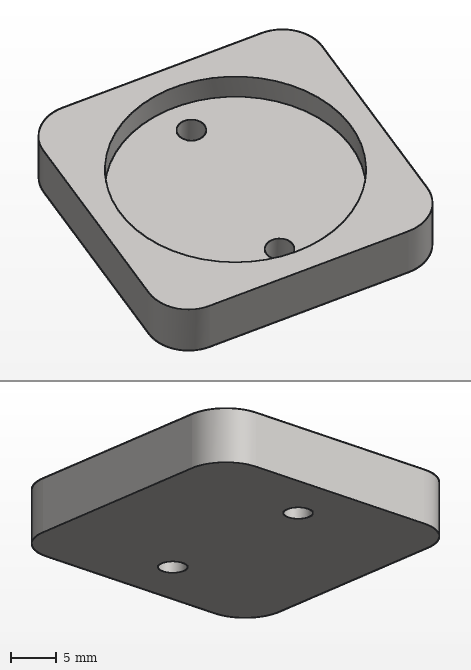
import cadquery as cq

side = 35.0
height = 6.5
corner_radius = 5.0

pocket_diameter = 29.0
pocket_depth = 3.2

hole_diameter = 3.3
hole_spacing = 21.0

plate = cq.Workplane("XY").rect(side, side).extrude(height).edges("|Z").fillet(corner_radius)

pocket = (
    cq.Workplane("XY")
    .workplane(offset=height - pocket_depth)
    .circle(pocket_diameter / 2)
    .extrude(pocket_depth)
)

holes = (
    cq.Workplane("XY")
    .pushPoints([(-hole_spacing / 2, 0), (hole_spacing / 2, 0)])
    .circle(hole_diameter / 2)
    .extrude(height)
)

result = plate.cut(pocket).cut(holes)